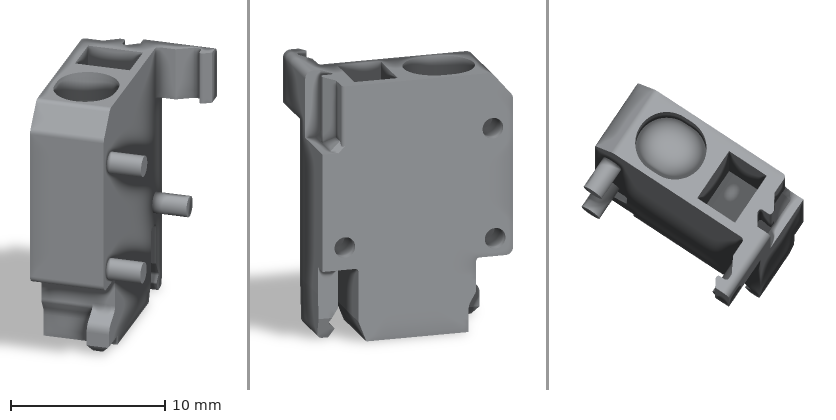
import cadquery as cq
import math

BODY_WIDTH = 4.99
DEPTH = 12.9
HEIGHT = 17.45
CLIP_END = 8.7
BODY_BOTTOM = 4.99
SLOPE_BOTTOM = 15.77
SLOPE_BACK = 1.43
CORNER_RADIUS = 0.49
SMALL_RADIUS = 0.25
NOTCH_RADIUS = 0.21
TIP_RADIUS = 0.15
EDGE_RADIUS = 0.07

FOOT_FRONT = 2.5
FOOT_HEEL = 3.0
FOOT_BACK = 10.47
FOOT_TAPER_TOP = 1.38
FOOT_TAPER_END = 9.93
FOOT_STEP_LOW = 1.81
FOOT_STEP_HIGH = 2.69

NOSE_LEFT = 3.47
NOSE_FRONT = 1.19
NOSE_BEVEL = 0.54
NOSE_TOP = 3.14
NOSE_TIP_FRONT = 1.7
NOSE_TIP_LEFT = 3.75
NOSE_TIP_RIGHT = 4.41
NOSE_RIGHT_BEVEL = 0.63
NOSE_SLOPE_LOW = 1.92
NOSE_SLOPE_HIGH = 2.67
NOSE_RADIUS = 0.72

LEG_LEFT = 1.05
LEG_FRONT = 11.55
LEG_BEVEL_HEIGHT = 1.47
LEG_BEVEL_SHIFT = 0.54
LEG_TAPER_TOP = 3.14
LEG_TIP_BACK = 12.8
LEG_TIP_FRONT = 12.04
LEG_TIP_RADIUS = 0.38
LEG_ROOT_RADIUS = 0.33
LEG_SLOPE_TOP = 2.08
BARB_POINT = (11.65, 0.63, 0.09)
BARB_NOTCH = (12.16, 1.1, 0.15)

CLIP_BOTTOM = 13.89
CLIP_ROOT = 11.62
CLIP_NOTCH = 12.23
CLIP_RAMP_X = (6.3, 7.38)
HOOK_LEFT = 7.9
HOOK_TIP_RIGHT = 8.17
HOOK_TIP = 11.5
HOOK_SHOULDER = 11.83
RECESS_FLOOR = 12.95
RECESS_ROOT = 11.57
RECESS_PEAK = 12.18
RECESS_PIT = 11.36
RECESS_RAMP_X = (1.4, 2.35)
RECESS_PIT_X = (2.74, 3.07)
RECESS_END = 3.84
RECESS_SHOULDER = 11.87
RECESS_RAMP_FOOT = 12.23
RECESS_BEVEL_WIDTH = 0.5
RECESS_BEVEL_SLOPE = 0.8

PEG_DIAMETER = 1.4
PEG_LENGTH = 2.32
PEG_CENTRES = [(1.36, 13.68), (1.2, 6.2), (11.4, 6.51)]

SCREW_CENTRE = (2.51, 4.25)
SCREW_WIDTH = 4.1
SCREW_LENGTH = 4.73
SCREW_DEPTH = 2.0
WIRE_X = (0.72, 4.43)
WIRE_Y = (7.59, 10.52)
WIRE_DEPTH = 6.98
WIRE_DIP_WIDTH = 0.37
WIRE_DIP_ANGLE = 14.0

OVERLAP = 0.7


def rounded_outline(plane, corners):
    """Closed outline through (u, v, radius) corners; radius 0 leaves a corner sharp."""
    points = [cq.Vector(u, v) for u, v, _ in corners]
    outline = None
    for i, (_, _, radius) in enumerate(corners):
        corner = points[i]
        to_previous = (points[i - 1] - corner).normalized()
        to_next = (points[(i + 1) % len(points)] - corner).normalized()
        half_angle = to_previous.getAngle(to_next) / 2
        tangent = radius / math.tan(half_angle)
        start = corner + to_previous * tangent
        if outline is None:
            outline = cq.Workplane(plane).moveTo(start.x, start.y)
        else:
            outline = outline.lineTo(start.x, start.y)
        if radius:
            end = corner + to_next * tangent
            bisector = (to_previous + to_next).normalized()
            middle = corner + bisector * (radius / math.sin(half_angle) - radius)
            outline = outline.threePointArc((middle.x, middle.y), (end.x, end.y))
    return outline.close()


def side_slab(corners, x_start, x_end):
    """Solid with a (y, z) outline, running from x_start to x_end."""
    return rounded_outline("YZ", corners).extrude(x_end - x_start).translate((x_start, 0, 0))


def plan_slab(corners, z_start, z_end):
    """Solid with an (x, y) outline, running from z_start to z_end."""
    return rounded_outline("XY", corners).extrude(z_end - z_start).translate((0, 0, z_start))


def front_slab(corners):
    """Solid with an (x, z) outline, running through the full depth."""
    return rounded_outline("XZ", corners).extrude(-DEPTH)


BODY_CORNERS = [
    (0, BODY_BOTTOM, CORNER_RADIUS),
    (0, SLOPE_BOTTOM, CORNER_RADIUS),
    (SLOPE_BACK, HEIGHT, CORNER_RADIUS),
    (DEPTH, HEIGHT, CORNER_RADIUS),
    (DEPTH, BODY_BOTTOM, 0),
    (FOOT_BACK, BODY_BOTTOM, SMALL_RADIUS),
    (FOOT_BACK, FOOT_TAPER_TOP, 0),
    (FOOT_TAPER_END, 0, 0),
    (FOOT_HEEL, 0, 0),
    (FOOT_HEEL, FOOT_STEP_LOW, 2 * CORNER_RADIUS),
    (FOOT_FRONT, FOOT_STEP_HIGH, CORNER_RADIUS),
    (FOOT_FRONT, BODY_BOTTOM, SMALL_RADIUS),
]


def make_nose():
    """Rounded nose in front of the foot, bevelled at its bottom edges."""
    side = side_slab(
        [
            (FOOT_HEEL, 0, 0),
            (NOSE_TIP_FRONT, 0, 0),
            (NOSE_FRONT, NOSE_BEVEL, 0),
            (NOSE_FRONT, NOSE_SLOPE_LOW, NOSE_RADIUS),
            (FOOT_FRONT, NOSE_SLOPE_HIGH, CORNER_RADIUS),
            (FOOT_FRONT, NOSE_TOP, 0),
            (FOOT_HEEL, NOSE_TOP, 0),
        ],
        NOSE_LEFT,
        BODY_WIDTH,
    )
    front = front_slab(
        [
            (NOSE_LEFT, NOSE_TOP, 0),
            (NOSE_LEFT, NOSE_BEVEL, 0),
            (NOSE_TIP_LEFT, 0, 0),
            (NOSE_TIP_RIGHT, 0, 0),
            (BODY_WIDTH, NOSE_RIGHT_BEVEL, 0),
            (BODY_WIDTH, NOSE_TOP, 0),
        ]
    )
    return side.intersect(front)


def make_leg():
    """Spring leg hanging from the back of the body, with a barbed, bevelled tip."""
    top = BODY_BOTTOM + OVERLAP
    side = side_slab(
        [
            (DEPTH, top, 0),
            (DEPTH, LEG_TAPER_TOP, 0),
            (LEG_TIP_BACK, 0, LEG_TIP_RADIUS),
            (LEG_TIP_FRONT, 0, 0),
            BARB_POINT,
            BARB_NOTCH,
            (LEG_FRONT, LEG_SLOPE_TOP, 0),
            (LEG_FRONT, BODY_BOTTOM, LEG_ROOT_RADIUS),
            (LEG_FRONT - OVERLAP, BODY_BOTTOM, 0),
            (LEG_FRONT - OVERLAP, top, 0),
        ],
        LEG_LEFT,
        BODY_WIDTH,
    )
    front = front_slab(
        [
            (LEG_LEFT, top, 0),
            (LEG_LEFT, LEG_BEVEL_HEIGHT, 0),
            (LEG_LEFT + LEG_BEVEL_SHIFT, 0, 0),
            (BODY_WIDTH, 0, 0),
            (BODY_WIDTH, top, 0),
        ]
    )
    return side.intersect(front)


def make_clip():
    """Clip plate with a ramp, a notch and a hook, rounded at the top like the body."""
    inside = BODY_WIDTH - OVERLAP
    ramp_start, ramp_end = CLIP_RAMP_X
    plate = plan_slab(
        [
            (inside, DEPTH, 0),
            (inside, CLIP_ROOT - OVERLAP, 0),
            (BODY_WIDTH, CLIP_ROOT - OVERLAP, 0),
            (BODY_WIDTH, CLIP_ROOT, SMALL_RADIUS),
            (ramp_start, CLIP_ROOT, EDGE_RADIUS),
            (ramp_end, CLIP_NOTCH, EDGE_RADIUS),
            (HOOK_LEFT, CLIP_NOTCH, NOTCH_RADIUS),
            (HOOK_LEFT, HOOK_TIP, TIP_RADIUS),
            (HOOK_TIP_RIGHT, HOOK_TIP, TIP_RADIUS),
            (CLIP_END, HOOK_SHOULDER, EDGE_RADIUS),
            (CLIP_END, DEPTH, 0),
        ],
        CLIP_BOTTOM,
        HEIGHT,
    )
    return plate.intersect(side_slab(BODY_CORNERS, inside, CLIP_END))


def make_recess():
    """Space for a neighbour's hook, with a floor that ramps up at 45 degrees."""
    left = -OVERLAP
    behind = DEPTH + OVERLAP
    ramp_start, ramp_end = RECESS_RAMP_X
    pit_left, pit_right = RECESS_PIT_X
    shape = plan_slab(
        [
            (left, RECESS_ROOT - OVERLAP, 0),
            (0, RECESS_ROOT - OVERLAP, 0),
            (0, RECESS_ROOT, SMALL_RADIUS),
            (ramp_start, RECESS_ROOT, 0),
            (ramp_end, RECESS_PEAK, TIP_RADIUS),
            (pit_left, RECESS_PEAK, TIP_RADIUS),
            (pit_left, RECESS_PIT, TIP_RADIUS),
            (pit_right, RECESS_PIT, TIP_RADIUS),
            (RECESS_END, RECESS_SHOULDER, 0),
            (RECESS_END, behind, 0),
            (left, behind, 0),
        ],
        RECESS_FLOOR,
        HEIGHT,
    )
    rise = HEIGHT - RECESS_FLOOR
    bevel_drop = RECESS_BEVEL_SLOPE * (RECESS_BEVEL_WIDTH - left)
    ramp_foot = [
        (left, RECESS_RAMP_FOOT - bevel_drop),
        (RECESS_BEVEL_WIDTH, RECESS_RAMP_FOOT),
        (RECESS_END, RECESS_RAMP_FOOT),
        (RECESS_END, behind + rise),
        (left, behind + rise),
    ]
    ramp_head = [(x, y - rise) for x, y in ramp_foot]
    above_ramp = (
        cq.Workplane("XY", origin=(0, 0, RECESS_FLOOR))
        .polyline(ramp_foot)
        .close()
        .workplane(offset=rise)
        .polyline(ramp_head)
        .close()
        .loft(ruled=True)
    )
    return shape.intersect(above_ramp)


def make_screw_opening():
    """Oblong blind opening above the clamping screw."""
    return (
        cq.Workplane("XY", origin=(*SCREW_CENTRE, HEIGHT))
        .slot2D(SCREW_LENGTH, SCREW_WIDTH, 90)
        .extrude(-SCREW_DEPTH)
    )


def make_wire_opening():
    """Rectangular blind opening whose floor dips along the front wall."""
    front, back = WIRE_Y
    floor = HEIGHT - WIRE_DEPTH
    dip = WIRE_DIP_WIDTH * math.tan(math.radians(WIRE_DIP_ANGLE))
    return side_slab(
        [
            (front, HEIGHT, 0),
            (front, floor - dip, 0),
            (front + WIRE_DIP_WIDTH, floor, 0),
            (back, floor, 0),
            (back, HEIGHT, 0),
        ],
        *WIRE_X,
    )


def make_pins(x_start):
    """Three round pins, one peg length long, starting at x_start."""
    return (
        cq.Workplane("YZ", origin=(x_start, 0, 0))
        .pushPoints(PEG_CENTRES)
        .circle(PEG_DIAMETER / 2)
        .extrude(PEG_LENGTH)
    )


result = (
    side_slab(BODY_CORNERS, 0, BODY_WIDTH)
    .union(make_nose())
    .union(make_leg())
    .union(make_clip())
    .union(make_pins(BODY_WIDTH))
    .cut(make_recess())
    .cut(make_screw_opening())
    .cut(make_wire_opening())
    .cut(make_pins(0))
)